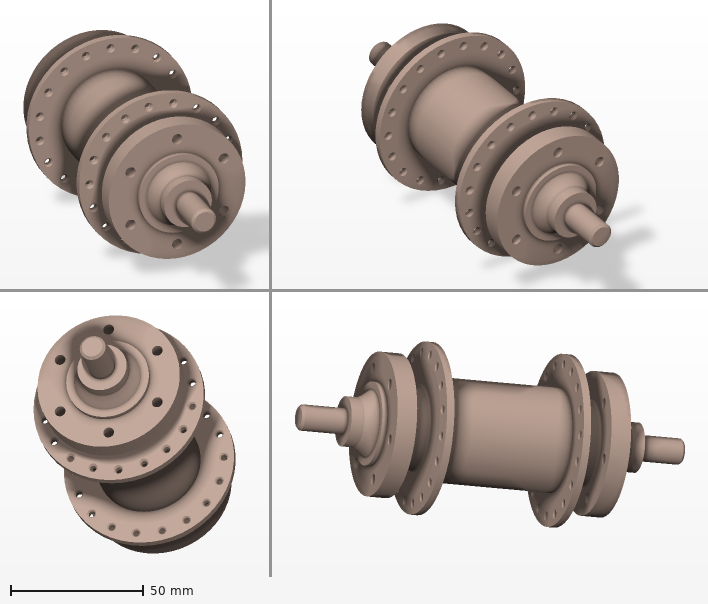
import cadquery as cq
import math

axle_length = 154.0
axle_radius = 5.0
axle_chamfer = 1.0

barrel_half_length = 26.0
spoke_flange_rim_x = 29.0
spoke_flange_taper = 0.55
spoke_flange_face_x = spoke_flange_rim_x + spoke_flange_taper
neck_length = 9.5
disc_inner_x = spoke_flange_face_x + neck_length
disc_outer_x = 47.0
hub_half_length = 49.0

barrel_radius = 20.0
spoke_flange_radius = 33.0
spoke_flange_flat_radius = 26.2
neck_radius = 16.0
disc_radius = 27.5
neck_fillet = 1.0

spoke_hole_count = 18
spoke_hole_circle_radius = 29.0
spoke_hole_diameter = 2.5
spoke_countersink_diameter = 3.5
countersink_depth = (spoke_countersink_diameter - spoke_hole_diameter) / 2

bolt_hole_count = 6
bolt_hole_circle_radius = 21.7
bolt_hole_diameter = 4.2

cone_outer_x = 59.0
cone_shoulder_x = 54.0
cone_collar_radius = 9.5
cone_base_radius = 13.0
cone_flare_hollow = 0.3


def revolve_about_x(profile):
    """Close a profile whose points are (x, radius) and spin it around the X axis."""
    return profile.close().revolve(360, (0, 0, 0), (1, 0, 0))


def polar_points(count, radius):
    """Points evenly spaced on a circle, the first one straight up."""
    angles = [math.pi / 2 + 2 * math.pi * i / count for i in range(count)]
    return [(radius * math.cos(angle), radius * math.sin(angle)) for angle in angles]


def make_barrel():
    ring = cq.Workplane("YZ", origin=(-barrel_half_length, 0, 0)).circle(barrel_radius).circle(axle_radius)
    return ring.extrude(2 * barrel_half_length)


def make_hub_end():
    """Spoke flange, neck and drilled disc at the +X end, with a fillet at both ends of the neck."""
    arc_offset = neck_fillet * (1 - math.sqrt(0.5))
    neck_start = spoke_flange_face_x + neck_fillet
    neck_end = disc_inner_x - neck_fillet
    fillet_top = neck_radius + neck_fillet
    arc_mid_radius = neck_radius + arc_offset
    profile = (
        cq.Workplane("XY")
        .moveTo(barrel_half_length, axle_radius)
        .lineTo(barrel_half_length, spoke_flange_radius)
        .lineTo(spoke_flange_rim_x, spoke_flange_radius)
        .lineTo(spoke_flange_face_x, spoke_flange_flat_radius)
        .lineTo(spoke_flange_face_x, fillet_top)
        .threePointArc((spoke_flange_face_x + arc_offset, arc_mid_radius), (neck_start, neck_radius))
        .lineTo(neck_end, neck_radius)
        .threePointArc((disc_inner_x - arc_offset, arc_mid_radius), (disc_inner_x, fillet_top))
        .lineTo(disc_inner_x, disc_radius)
        .lineTo(disc_outer_x, disc_radius)
        .lineTo(disc_outer_x, neck_radius)
        .lineTo(hub_half_length, neck_radius)
        .lineTo(hub_half_length, axle_radius)
    )
    bolt_holes = (
        cq.Workplane("YZ", origin=(disc_inner_x, 0, 0))
        .pushPoints(polar_points(bolt_hole_count, bolt_hole_circle_radius))
        .circle(bolt_hole_diameter / 2)
        .extrude(disc_outer_x - disc_inner_x)
    )
    return revolve_about_x(profile).cut(bolt_holes)


def make_spoke_hole_cutter():
    """One spoke hole along X, at the top of the hole circle, widened towards both flange faces."""
    hole_radius = spoke_hole_diameter / 2
    sink_radius = spoke_countersink_diameter / 2
    slope = spoke_flange_taper / (spoke_flange_radius - spoke_flange_flat_radius)
    face_x = spoke_flange_rim_x + slope * (spoke_flange_radius - spoke_hole_circle_radius)
    overrun = 0.3
    wide_radius = sink_radius + overrun
    profile = (
        cq.Workplane("XY")
        .moveTo(barrel_half_length - overrun, 0)
        .lineTo(barrel_half_length - overrun, wide_radius)
        .lineTo(barrel_half_length + countersink_depth, hole_radius)
        .lineTo(face_x - countersink_depth, hole_radius)
        .lineTo(face_x + overrun, wide_radius)
        .lineTo(face_x + overrun, 0)
    )
    return revolve_about_x(profile).translate((0, 0, spoke_hole_circle_radius))


def make_hub():
    hub_end = make_hub_end()
    body = make_barrel().union(hub_end).union(hub_end.mirror("YZ"))

    pitch = 360 / spoke_hole_count
    right_cutter = make_spoke_hole_cutter()
    left_cutter = right_cutter.mirror("YZ")
    for i in range(spoke_hole_count):
        body = body.cut(left_cutter.rotate((0, 0, 0), (1, 0, 0), i * pitch))
        body = body.cut(right_cutter.rotate((0, 0, 0), (1, 0, 0), (i + 0.5) * pitch))
    return body


def make_axle():
    axle = cq.Workplane("YZ", origin=(-axle_length / 2, 0, 0)).circle(axle_radius).extrude(axle_length)
    return axle.faces("<X or >X").chamfer(axle_chamfer)


def make_end_cone(turn):
    """Collar that flares out to the hub end, turned about Z to its side of the hub."""
    flare_mid = (
        (cone_shoulder_x + hub_half_length) / 2,
        (cone_collar_radius + cone_base_radius) / 2 - cone_flare_hollow,
    )
    profile = (
        cq.Workplane("XY")
        .moveTo(hub_half_length, axle_radius)
        .lineTo(cone_outer_x, axle_radius)
        .lineTo(cone_outer_x, cone_collar_radius)
        .lineTo(cone_shoulder_x, cone_collar_radius)
        .threePointArc(flare_mid, (hub_half_length, cone_base_radius))
    )
    return revolve_about_x(profile).rotate((0, 0, 0), (0, 0, 1), turn)


hub = make_hub()
axle = make_axle()
end_cones = [make_end_cone(turn) for turn in (0, 180)]

result = cq.Compound.makeCompound([hub.val(), axle.val(), *[cone.val() for cone in end_cones]])